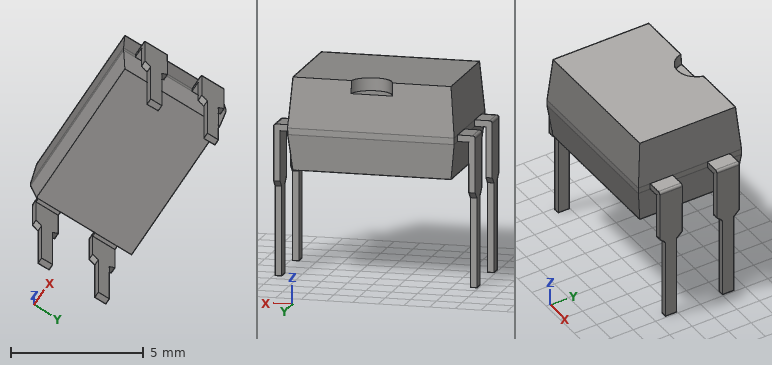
import cadquery as cq

total_height = 7.9
lead_span = 7.87

body_length = 6.5
body_width = 4.6
body_height = 3.61
upper_height = 1.95
taper_inset = 0.165

notch_radius = 0.81
notch_depth = 0.5

lead_thickness = 0.25
lead_pitch = 2.54
shoulder_width = 1.0
tip_width = 0.5
shoulder_bottom_drop = 4.16
bend_radius = 0.1

band_top = total_height - upper_height
band_bottom = band_top - lead_thickness
lower_height = body_height - upper_height - lead_thickness
shoulder_bottom = total_height - shoulder_bottom_drop
neck_top = shoulder_bottom - (shoulder_width - tip_width) / 2


def tapered_half(start_z, height):
    """Frustum that narrows away from the band; a negative height points down."""
    return (
        cq.Workplane("XY", origin=(0, 0, start_z))
        .rect(body_length, body_width)
        .workplane(offset=height)
        .rect(body_length - 2 * taper_inset, body_width - 2 * taper_inset)
        .loft(ruled=True)
    )


def make_housing():
    band = (
        cq.Workplane("XY", origin=(0, 0, band_bottom))
        .rect(body_length, body_width)
        .extrude(lead_thickness)
    )
    notch = (
        cq.Workplane("XY", origin=(0, body_width / 2, total_height))
        .circle(notch_radius)
        .extrude(-notch_depth)
    )
    upper_half = tapered_half(band_top, upper_height)
    lower_half = tapered_half(band_bottom, -lower_height)
    return band.union(upper_half).union(lower_half).cut(notch)


def make_lead(side, y_center):
    """L-shaped lead on the -X (side = -1) or +X (side = 1) end of the housing."""
    outer_x = side * lead_span / 2
    inner_x = side * (lead_span / 2 - lead_thickness)
    body_x = side * body_length / 2

    strip = (
        cq.Workplane("XZ", origin=(0, y_center + shoulder_width / 2, 0))
        .moveTo(body_x, band_top)
        .lineTo(outer_x - side * bend_radius, band_top)
        .radiusArc((outer_x, band_top - bend_radius), side * bend_radius)
        .lineTo(outer_x, 0)
        .lineTo(inner_x, 0)
        .lineTo(inner_x, band_bottom)
        .lineTo(body_x, band_bottom)
        .close()
        .extrude(shoulder_width)
    )

    half_shoulder = shoulder_width / 2
    half_tip = tip_width / 2
    outline = (
        cq.Workplane("YZ", origin=(0, y_center, 0))
        .polyline([
            (-half_shoulder, band_top),
            (-half_shoulder, shoulder_bottom),
            (-half_tip, neck_top),
            (-half_tip, 0),
            (half_tip, 0),
            (half_tip, neck_top),
            (half_shoulder, shoulder_bottom),
            (half_shoulder, band_top),
        ])
        .close()
        .extrude(outer_x)
    )
    return strip.intersect(outline)


housing = make_housing()

leads = []
for side in (-1, 1):
    for row in (-1, 1):
        leads.append(make_lead(side, row * lead_pitch / 2).solids().val())

result = cq.Compound.makeCompound([housing.solids().val(), *leads])